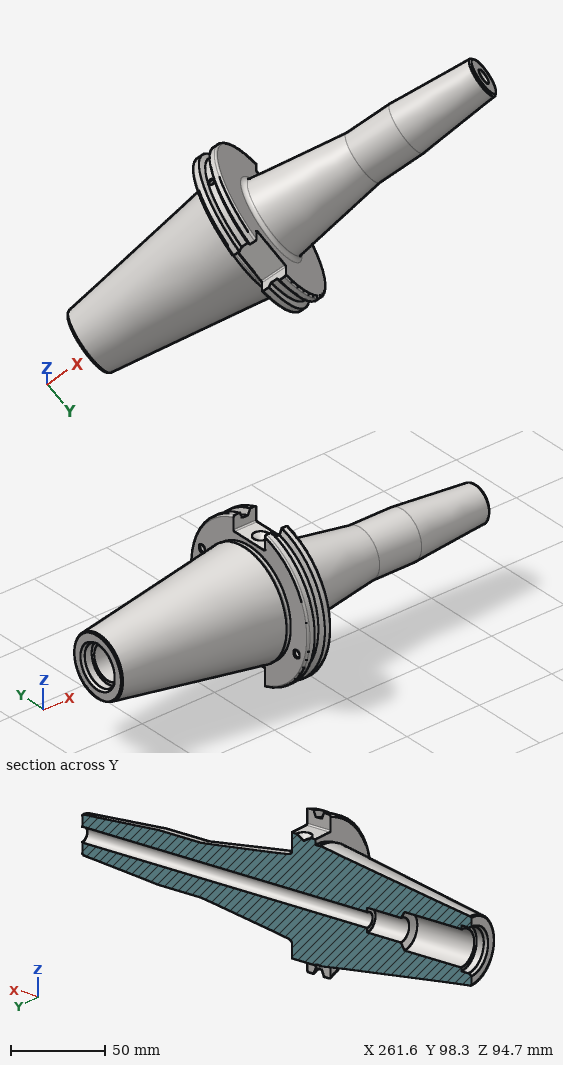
import cadquery as cq
import math


TAPER_LENGTH = 101.6
GAUGE_DIAMETER = 69.85
TAPER_RATE = 7 / 24
RELIEF_DIAMETER = 69.25
RELIEF_START = 1.2
SHANK_END_CHAMFER_DEPTH = 0.6
SHANK_END_CHAMFER_LENGTH = 0.9

FLANGE_DIAMETER = 98.25
FLANGE_START = 3.18
FLANGE_END = 19.05
FLANGE_EDGE_RADIUS = 1.2
GROOVE_CENTER = 11.2
GROOVE_FLOOR_DIAMETER = 91.1
GROOVE_FLOOR_WIDTH = 4.0
GROOVE_MOUTH_WIDTH = 7.0

KEYWAY_WIDTH = 26.2
KEYWAY_CORNER_RADIUS = 0.8
UPPER_KEYWAY_HEIGHT = 37.7
LOWER_KEYWAY_HEIGHT = 35.3
DIMPLE_DIAMETER = 9.53
DIMPLE_TIP_ANGLE = 118

NOSE_END = 160.0
NOSE_ROOT_DIAMETER = 49.8
NOSE_ROOT_RADIUS = 2.8
NECK_DIAMETER = 32.0
NECK_START = 80.0
NECK_END = 109.0
NOSE_TIP_DIAMETER = 24.0
NOSE_TIP_CHAMFER = 1.0

ENTRY_DIAMETER = 28.5
ENTRY_CONE_ANGLE = 60
COUNTERBORE_DIAMETER = 26.2
COUNTERBORE_DEPTH = 6.8
THREAD_DIAMETER = 21.97
THREAD_DEPTH = 45.0
PILOT_DIAMETER = 14.0
PILOT_DEPTH = 70.0
COOLANT_BORE_DIAMETER = 8.92
DRILL_POINT_ANGLE = 118

SCREW_HOLE_ANGLE = 20
SCREW_HOLE_DEPTH = 4.0
COUNTERSINK_ANGLE = 90
FACE_HOLE_DIAMETER = 4.13
FACE_HOLE_MOUTH_DIAMETER = 5.0
FACE_HOLE_CIRCLE_RADIUS = 41.9
GROOVE_HOLE_DIAMETER = 3.24
GROOVE_HOLE_MOUTH_DIAMETER = 4.2

FLANGE_RADIUS = FLANGE_DIAMETER / 2


def cone_length(large_diameter, small_diameter, point_angle):
    return (large_diameter - small_diameter) / 2 / math.tan(math.radians(point_angle / 2))


def revolve_about_x(outline):
    return outline.close().revolve(360, (0, 0, 0), (1, 0, 0))


def make_shank():
    end_radius = (GAUGE_DIAMETER - TAPER_LENGTH * TAPER_RATE) / 2
    return revolve_about_x(
        cq.Workplane("XY")
        .moveTo(-TAPER_LENGTH, 0)
        .lineTo(-TAPER_LENGTH, end_radius - SHANK_END_CHAMFER_DEPTH)
        .lineTo(-TAPER_LENGTH + SHANK_END_CHAMFER_LENGTH, end_radius)
        .lineTo(0, GAUGE_DIAMETER / 2)
        .lineTo(RELIEF_START, RELIEF_DIAMETER / 2)
        .lineTo(FLANGE_START, RELIEF_DIAMETER / 2)
        .lineTo(FLANGE_START, 0)
    )


def make_flange():
    """Disc with rounded rims and a V-shaped groove around it."""
    shoulder_radius = FLANGE_RADIUS - FLANGE_EDGE_RADIUS
    floor_radius = GROOVE_FLOOR_DIAMETER / 2
    half_mouth = GROOVE_MOUTH_WIDTH / 2
    half_floor = GROOVE_FLOOR_WIDTH / 2
    return revolve_about_x(
        cq.Workplane("XY")
        .moveTo(FLANGE_START, 0)
        .lineTo(FLANGE_START, shoulder_radius)
        .radiusArc((FLANGE_START + FLANGE_EDGE_RADIUS, FLANGE_RADIUS), FLANGE_EDGE_RADIUS)
        .lineTo(GROOVE_CENTER - half_mouth, FLANGE_RADIUS)
        .lineTo(GROOVE_CENTER - half_floor, floor_radius)
        .lineTo(GROOVE_CENTER + half_floor, floor_radius)
        .lineTo(GROOVE_CENTER + half_mouth, FLANGE_RADIUS)
        .lineTo(FLANGE_END - FLANGE_EDGE_RADIUS, FLANGE_RADIUS)
        .radiusArc((FLANGE_END, shoulder_radius), FLANGE_EDGE_RADIUS)
        .lineTo(FLANGE_END, 0)
    )


def make_nose():
    """Tapered nose with a cylindrical neck and a fillet where it leaves the flange."""
    root_radius = NOSE_ROOT_DIAMETER / 2
    neck_radius = NECK_DIAMETER / 2
    tip_radius = NOSE_TIP_DIAMETER / 2
    slope = math.atan2(root_radius - neck_radius, NECK_START - FLANGE_END)
    fillet_center_radius = (
        root_radius - NOSE_ROOT_RADIUS * math.tan(slope) + NOSE_ROOT_RADIUS / math.cos(slope)
    )
    tangent_x = FLANGE_END + NOSE_ROOT_RADIUS * (1 - math.sin(slope))
    tangent_radius = fillet_center_radius - NOSE_ROOT_RADIUS * math.cos(slope)
    return revolve_about_x(
        cq.Workplane("XY")
        .moveTo(FLANGE_END, 0)
        .lineTo(FLANGE_END, fillet_center_radius)
        .radiusArc((tangent_x, tangent_radius), -NOSE_ROOT_RADIUS)
        .lineTo(NECK_START, neck_radius)
        .lineTo(NECK_END, neck_radius)
        .lineTo(NOSE_END - NOSE_TIP_CHAMFER, tip_radius)
        .lineTo(NOSE_END, tip_radius - NOSE_TIP_CHAMFER)
        .lineTo(NOSE_END, 0)
    )


def make_bore():
    """Stepped bore through the whole holder."""
    entry = -TAPER_LENGTH
    entry_cone_end = entry + cone_length(ENTRY_DIAMETER, COUNTERBORE_DIAMETER, ENTRY_CONE_ANGLE)
    thread_end = entry + THREAD_DEPTH
    cone_end = thread_end + cone_length(THREAD_DIAMETER, PILOT_DIAMETER, DRILL_POINT_ANGLE)
    pilot_end = entry + PILOT_DEPTH
    return revolve_about_x(
        cq.Workplane("XY")
        .moveTo(entry, 0)
        .lineTo(entry, ENTRY_DIAMETER / 2)
        .lineTo(entry_cone_end, COUNTERBORE_DIAMETER / 2)
        .lineTo(entry + COUNTERBORE_DEPTH, COUNTERBORE_DIAMETER / 2)
        .lineTo(entry + COUNTERBORE_DEPTH, THREAD_DIAMETER / 2)
        .lineTo(thread_end, THREAD_DIAMETER / 2)
        .lineTo(cone_end, PILOT_DIAMETER / 2)
        .lineTo(pilot_end, PILOT_DIAMETER / 2)
        .lineTo(pilot_end, COOLANT_BORE_DIAMETER / 2)
        .lineTo(NOSE_END, COOLANT_BORE_DIAMETER / 2)
        .lineTo(NOSE_END, 0)
    )


def make_keyway(floor_height, side):
    """Slot along X; side is +1 for the upper keyway and -1 for the lower one."""
    length = FLANGE_END - FLANGE_START
    height = FLANGE_RADIUS - floor_height
    center = (
        (FLANGE_START + FLANGE_END) / 2,
        0,
        side * (floor_height + FLANGE_RADIUS) / 2,
    )
    floor_edges = "|X and <Z" if side > 0 else "|X and >Z"
    return (
        cq.Workplane("XY")
        .box(length, KEYWAY_WIDTH, height)
        .edges(floor_edges)
        .fillet(KEYWAY_CORNER_RADIUS)
        .translate(center)
    )


def make_dimple():
    """Conical dimple in the floor of the upper keyway."""
    depth = cone_length(DIMPLE_DIAMETER, 0, DIMPLE_TIP_ANGLE)
    cone = cq.Solid.makeCone(0, DIMPLE_DIAMETER / 2, depth)
    return cone.translate(cq.Vector(GROOVE_CENTER, 0, UPPER_KEYWAY_HEIGHT - depth))


def screw_hole(diameter, mouth_diameter, start, direction):
    """Countersunk blind hole that ends in a drill point."""
    axis = cq.Vector(*direction)
    mouth = cq.Vector(*start)
    sink_length = cone_length(mouth_diameter, diameter, COUNTERSINK_ANGLE)
    point_length = cone_length(diameter, 0, DRILL_POINT_ANGLE)
    sink = cq.Solid.makeCone(mouth_diameter / 2, diameter / 2, sink_length, mouth, axis)
    barrel = cq.Solid.makeCylinder(diameter / 2, SCREW_HOLE_DEPTH, mouth, axis)
    point = cq.Solid.makeCone(diameter / 2, 0, point_length, mouth + axis * SCREW_HOLE_DEPTH, axis)
    return barrel.fuse(sink, point)


def make_face_hole(side):
    """Axial hole in the flange face next to the shank."""
    angle = math.radians(SCREW_HOLE_ANGLE)
    start = (
        FLANGE_START,
        side * FACE_HOLE_CIRCLE_RADIUS * math.cos(angle),
        side * FACE_HOLE_CIRCLE_RADIUS * math.sin(angle),
    )
    return screw_hole(FACE_HOLE_DIAMETER, FACE_HOLE_MOUTH_DIAMETER, start, (1, 0, 0))


def make_groove_hole(side):
    """Radial hole in the floor of the gripper groove."""
    angle = math.radians(SCREW_HOLE_ANGLE)
    outward_y = side * math.cos(angle)
    outward_z = side * math.sin(angle)
    floor_radius = GROOVE_FLOOR_DIAMETER / 2
    start = (GROOVE_CENTER, floor_radius * outward_y, floor_radius * outward_z)
    inward = (0, -outward_y, -outward_z)
    return screw_hole(GROOVE_HOLE_DIAMETER, GROOVE_HOLE_MOUTH_DIAMETER, start, inward)


result = make_shank().union(make_flange()).union(make_nose()).cut(make_bore())
result = result.cut(make_keyway(UPPER_KEYWAY_HEIGHT, 1))
result = result.cut(make_keyway(LOWER_KEYWAY_HEIGHT, -1))
result = result.cut(make_dimple())
for hole_side in (1, -1):
    result = result.cut(make_face_hole(hole_side))
    result = result.cut(make_groove_hole(hole_side))